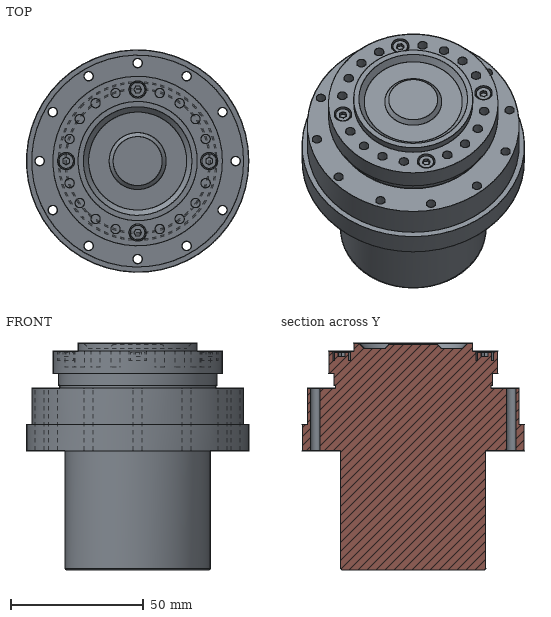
import cadquery as cq
import math

overall_height = 85.7
rim_height = 3.0
output_height = 8.5
seal_height = 4.5
neck_height = 1.0
housing_height = 13.7
mount_height = 10.0

output_top = overall_height - rim_height
output_bottom = output_top - output_height
seal_bottom = output_bottom - seal_height
housing_top = seal_bottom - neck_height
mount_top = housing_top - housing_height
mount_bottom = mount_top - mount_height

body_diameter = 55.0
mount_diameter = 84.0
housing_diameter = 80.0
neck_diameter = 59.0
seal_diameter = 60.0
output_diameter = 64.0
rim_diameter = 45.0
body_chamfer = 0.5

recess_diameter = 41.0
recess_depth = 2.0
boss_diameter = 21.5
boss_height = 1.5

mount_hole_diameter = 3.4
mount_hole_count = 12
mount_hole_circle = 74.0

output_circle = 54.0
output_position_count = 20
screw_count = 4
output_hole_diameter = 3.5
output_hole_depth = 6.0

counterbore_diameter = 6.5
head_diameter = 5.5
head_height = 3.0
head_recess = 0.5
counterbore_depth = head_recess + head_height
socket_width = 2.5
socket_depth = 1.5


def circle_points(circle_diameter, count):
    """Evenly spaced points on a circle, the first on the +X axis."""
    radius = circle_diameter / 2
    angles = [2 * math.pi * index / count for index in range(count)]
    return [(radius * math.cos(angle), radius * math.sin(angle)) for angle in angles]


def disc(diameter, bottom, top):
    """Solid cylinder on the part axis."""
    return cq.Workplane("XY").workplane(offset=bottom).circle(diameter / 2).extrude(top - bottom)


def holes(points, diameter, bottom, top):
    """Cylinders to cut away at the given points."""
    plane = cq.Workplane("XY").workplane(offset=bottom)
    return plane.pushPoints(points).circle(diameter / 2).extrude(top - bottom)


def turned_body():
    body = disc(body_diameter, 0, mount_bottom).faces("<Z").chamfer(body_chamfer)
    steps = [
        (mount_diameter, mount_bottom, mount_top),
        (housing_diameter, mount_top, housing_top),
        (neck_diameter, housing_top, seal_bottom),
        (seal_diameter, seal_bottom, output_bottom),
        (output_diameter, output_bottom, output_top),
        (rim_diameter, output_top, overall_height),
    ]
    for diameter, bottom, top in steps:
        body = body.union(disc(diameter, bottom, top))
    return body


def rim_recess():
    """Space between the conical recess wall and the boss on the recess floor."""
    floor = overall_height - recess_depth
    boss_top = floor + boss_height
    profile = [
        (0, boss_top),
        (boss_diameter / 2 - boss_height, boss_top),
        (boss_diameter / 2, floor),
        (recess_diameter / 2 - recess_depth, floor),
        (recess_diameter / 2, overall_height),
        (0, overall_height),
    ]
    return cq.Workplane("XZ").polyline(profile).close().revolve(360, (0, 0), (0, 1))


def screw_sockets(head_top):
    """Hexagon sockets, each with a flat facing the part axis."""
    sides = 6
    socket_corners = socket_width / math.cos(math.pi / sides)
    hexagon = (
        cq.Workplane("XY")
        .workplane(offset=head_top - socket_depth)
        .center(0, output_circle / 2)
        .polygon(sides, socket_corners)
        .extrude(socket_depth)
    )
    sockets = cq.Workplane("XY")
    for index in range(screw_count):
        turned = hexagon.rotate((0, 0, 0), (0, 0, 1), 360 * index / screw_count)
        sockets = sockets.add(turned)
    return sockets.combine()


def screw_recess(points):
    """Ring-shaped gap around each head, the space above it, and its hexagon socket."""
    head_top = output_top - head_recess
    seat = output_top - counterbore_depth
    counterbores = holes(points, counterbore_diameter, seat, output_top)
    heads = holes(points, head_diameter, seat, head_top)
    return counterbores.cut(heads).union(screw_sockets(head_top))


output_points = circle_points(output_circle, output_position_count)
screw_points = output_points[::output_position_count // screw_count]
hole_points = [point for point in output_points if point not in screw_points]
mount_points = circle_points(mount_hole_circle, mount_hole_count)

result = (
    turned_body()
    .cut(rim_recess())
    .cut(holes(mount_points, mount_hole_diameter, mount_bottom, housing_top))
    .cut(holes(hole_points, output_hole_diameter, output_top - output_hole_depth, output_top))
    .cut(screw_recess(screw_points))
)